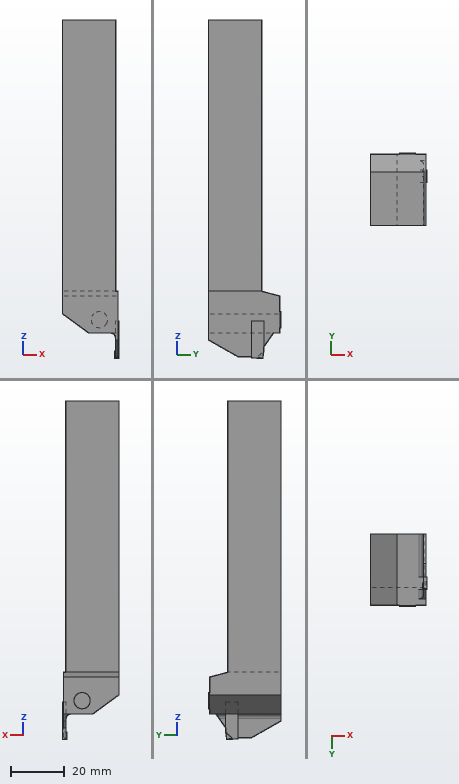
import cadquery as cq
import math

overall_height = 126.4
shank_size = 20.0

head_width = 20.7
head_depth = 26.7
head_top_z = 25.1
head_shoulder_z = 23.4
head_bottom_z = 9.5
bevel_top_z = 16.7
bevel_width = 9.9

blade_inner_x = 19.7
blade_bottom_z = 0.6
blade_front_z = 7.0
blade_front_foot_y = 11.1
blade_back_foot_y = 18.2
blade_back_top_y = 24.3
root_radius = 1.6

boss_diameter = 6.1
boss_x = 13.8
boss_z = 14.5
boss_height = 0.5

insert_front_y = 16.0
insert_back_y = 20.7
insert_outer_x = 21.1
insert_top_z = 14.0
insert_heel_z = 0.3
tip_y = 20.3
tip_z = 0.0
tip_top_z = 2.8
tip_root_y = 18.3
tip_inner_x = 19.3


def extrude_along_x(points, x_start, x_end):
    """Extrude a closed (y, z) outline between two X positions."""
    return (
        cq.Workplane("YZ", origin=(x_start, 0, 0))
        .polyline(points)
        .close()
        .extrude(x_end - x_start)
    )


def make_shank():
    return cq.Workplane("XY", origin=(0, 0, head_top_z)).box(
        shank_size, shank_size, overall_height - head_top_z, centered=False
    )


def make_head_and_blade():
    """Intersect the XZ outline with the YZ outline of the lower end."""
    root_x = blade_inner_x - root_radius
    root_z = head_bottom_z - root_radius
    arc_offset = root_radius * math.sqrt(0.5)
    front_outline = (
        cq.Workplane("XZ")
        .moveTo(0, head_top_z)
        .lineTo(0, bevel_top_z)
        .lineTo(bevel_width, head_bottom_z)
        .lineTo(root_x, head_bottom_z)
        .threePointArc((root_x + arc_offset, root_z + arc_offset), (blade_inner_x, root_z))
        .lineTo(blade_inner_x, blade_bottom_z)
        .lineTo(head_width, blade_bottom_z)
        .lineTo(head_width, head_top_z)
        .close()
        .extrude(-head_depth)
    )
    side_points = [
        (0, head_top_z),
        (shank_size, head_top_z),
        (head_depth, head_shoulder_z),
        (head_depth, head_bottom_z),
        (blade_back_top_y, head_bottom_z),
        (blade_back_foot_y, blade_bottom_z),
        (blade_front_foot_y, blade_bottom_z),
        (0, blade_front_z),
    ]
    return front_outline.intersect(extrude_along_x(side_points, 0, head_width))


def make_boss():
    return (
        cq.Workplane("XZ", origin=(boss_x, head_depth, boss_z))
        .circle(boss_diameter / 2)
        .extrude(-boss_height)
    )


def make_insert():
    """Straight bar with a tip that is wider toward -X at its lower back corner."""
    bar_points = [
        (insert_front_y, insert_top_z),
        (insert_front_y, insert_heel_z),
        (tip_y, tip_z),
        (insert_back_y, tip_top_z),
        (insert_back_y, insert_top_z),
    ]
    bar = extrude_along_x(bar_points, blade_inner_x, insert_outer_x)
    tip_points = [(insert_back_y, tip_top_z), (tip_root_y, blade_bottom_z), (tip_y, tip_z)]
    tip = extrude_along_x(tip_points, tip_inner_x, insert_outer_x)
    return bar.union(tip)


def make_insert_seat():
    """Slot for the insert through the blade, with the root fillet cleared in front of it."""
    seat_width = insert_back_y - insert_front_y
    seat = cq.Workplane("XY", origin=(blade_inner_x, insert_front_y, 0)).box(
        head_width - blade_inner_x, seat_width, insert_top_z, centered=False
    )
    root_relief = cq.Workplane("XY", origin=(blade_inner_x - root_radius, insert_front_y, 0)).box(
        root_radius, seat_width, head_bottom_z, centered=False
    )
    return seat.union(root_relief)


insert = make_insert()
holder = make_shank().union(make_head_and_blade()).union(make_boss()).cut(make_insert_seat())

result = cq.Compound.makeCompound([holder.val(), insert.val()])